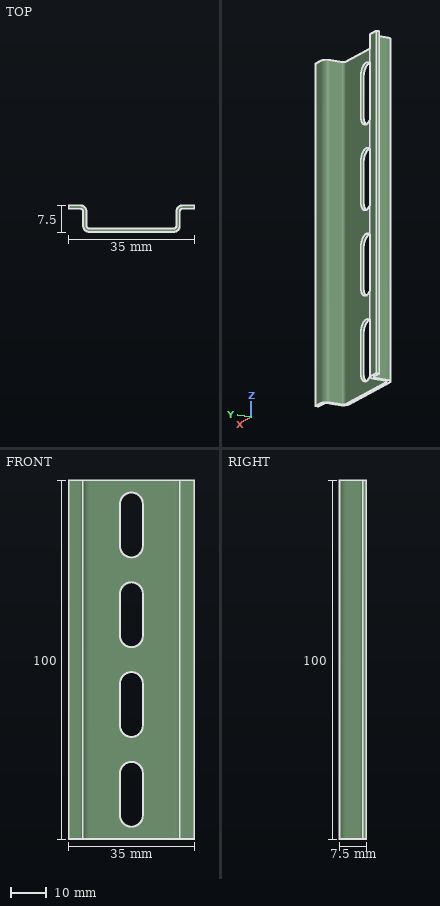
import cadquery as cq

rail_width = 35.0
rail_depth = 7.5
rail_length = 100.0
sheet = 1.0
web_width = 27.0
inner_radius = 0.8
outer_radius = inner_radius + sheet

slot_count = 4
slot_pitch = rail_length / slot_count
slot_length = 18.0
slot_width = 6.3

front_y = -rail_depth / 2
back_y = rail_depth / 2


def box(width, y_min, y_max):
    """Full-length block centred on X and Z, between two Y planes."""
    return (
        cq.Workplane("XY")
        .box(width, y_max - y_min, rail_length)
        .translate((0, (y_min + y_max) / 2, 0))
    )


def make_hat_section():
    """Full-length hat section with sharp bends."""
    channel = box(web_width, front_y, back_y)
    flanges = box(rail_width, back_y - sheet, back_y)
    hollow = box(web_width - 2 * sheet, front_y + sheet, back_y)
    return channel.union(flanges).cut(hollow)


def edge_at(x, y):
    """Selector for the lengthwise edge whose midpoint is at (x, y, 0)."""
    reach = sheet / 4
    return cq.selectors.BoxSelector((x - reach, y - reach, -reach), (x + reach, y + reach, reach))


def round_bends(body):
    """Round the two faces of each of the four bends concentrically."""
    outer_x = web_width / 2
    inner_x = outer_x - sheet
    bends = [
        (outer_x, front_y, outer_radius),
        (inner_x, front_y + sheet, inner_radius),
        (inner_x, back_y, outer_radius),
        (outer_x, back_y - sheet, inner_radius),
    ]
    for x, y, radius in bends:
        for side in (-1, 1):
            body = body.edges("|Z").edges(edge_at(side * x, y)).fillet(radius)
    return body


def cut_slots(body):
    """Row of round-ended slots through the web, evenly spaced along Z."""
    slots = (
        cq.Workplane("XZ", origin=(0, front_y + sheet, 0))
        .rarray(xSpacing=slot_pitch, ySpacing=slot_pitch, xCount=1, yCount=slot_count)
        .slot2D(slot_length, slot_width, angle=90)
        .extrude(sheet)
    )
    return body.cut(slots)


result = cut_slots(round_bends(make_hat_section()))